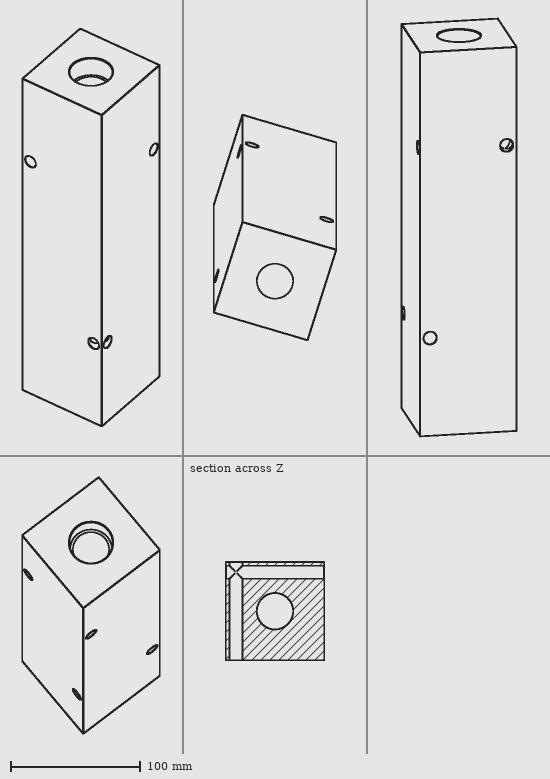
import cadquery as cq

side = 76.2
length = 311.0
edge_chamfer = 0.3

bore_diameter = 28.0
socket_mouth_diameter = 34.5
socket_mouth_chamfer = 0.5
socket_throat_diameter = socket_mouth_diameter - 2 * socket_mouth_chamfer
socket_floor_diameter = 32.5
socket_depth = 16.5

cross_hole_diameter = 10.0
cross_hole_chamfer = 0.3
cross_hole_offset = 30.2
cross_hole_height = side


def tapered_bore():
    """Bore and socket as one revolved solid, running the full length of the bar."""
    top = length / 2
    socket_floor = top - socket_depth
    half_profile = [
        (0, -top),
        (bore_diameter / 2, -top),
        (bore_diameter / 2, socket_floor),
        (socket_floor_diameter / 2, socket_floor),
        (socket_throat_diameter / 2, top - socket_mouth_chamfer),
        (socket_mouth_diameter / 2, top),
        (0, top),
    ]
    return cq.Workplane("XZ").polyline(half_profile).close().revolve()


def cross_hole():
    """Cylinder along Z that crosses the bar and flares into a chamfer at both ends."""
    radius = cross_hole_diameter / 2
    mouth_radius = radius + cross_hole_chamfer
    end = side / 2
    half_profile = [
        (0, -end),
        (mouth_radius, -end),
        (radius, -end + cross_hole_chamfer),
        (radius, end - cross_hole_chamfer),
        (mouth_radius, end),
        (0, end),
    ]
    return cq.Workplane("XZ").polyline(half_profile).close().revolve().val()


def cut_cross_holes(body, plane, upper_side):
    """Cut two cross holes; upper_side is the sign of the upper hole's sideways offset."""
    centres = [
        (upper_side * cross_hole_offset, cross_hole_height),
        (-upper_side * cross_hole_offset, -cross_hole_height),
    ]
    hole = cross_hole()
    holes = (
        cq.Workplane(plane)
        .pushPoints(centres)
        .eachpoint(lambda place: hole.moved(place), useLocalCoordinates=True)
    )
    return body.cut(holes)


bar = cq.Workplane("XY").box(side, side, length).edges().chamfer(edge_chamfer)
bored_bar = bar.cut(tapered_bore())
drilled_along_y = cut_cross_holes(bored_bar, "XZ", -1)
result = cut_cross_holes(drilled_along_y, "YZ", 1)